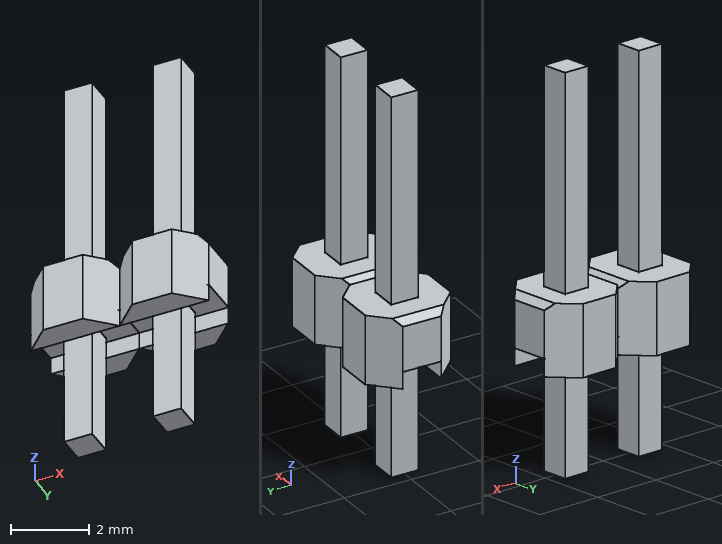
import cadquery as cq

pitch = 2.54
pin_count = 2
pin_width = 0.8
pin_length = 11.0
pin_tail = 3.0
housing_height = 2.0
corner_cut = 0.7
top_chamfer = 0.2
slot_height = 0.5

slot_width = pitch - 2 * corner_cut
pin_positions = [(i - (pin_count - 1) / 2) * pitch for i in range(pin_count)]


def make_housing(x):
    """Octagonal block standing on z = 0, with a slot below and a square pin hole."""
    block = cq.Workplane("XY").box(pitch, pitch, housing_height, centered=(True, True, False))
    block = block.edges("|Z").chamfer(corner_cut)

    half = pitch / 2
    profile = (
        cq.Workplane("XZ")
        .moveTo(-half, 0)
        .lineTo(half, 0)
        .lineTo(half, housing_height - top_chamfer)
        .lineTo(half - top_chamfer, housing_height)
        .lineTo(-half + top_chamfer, housing_height)
        .lineTo(-half, housing_height - top_chamfer)
        .close()
        .extrude(half, both=True)
    )
    slot = cq.Workplane("XY").box(pitch, slot_width, slot_height, centered=(True, True, False))
    hole = cq.Workplane("XY").rect(pin_width, pin_width).extrude(housing_height)
    return block.intersect(profile).cut(slot).cut(hole).translate((x, 0, 0))


def make_pin(x):
    """Square pin passing through the housing."""
    pin = cq.Workplane("XY").rect(pin_width, pin_width).extrude(pin_length)
    return pin.translate((x, 0, -pin_tail))


housings = [make_housing(x) for x in pin_positions]
pins = [make_pin(x) for x in pin_positions]

result = cq.Compound.makeCompound([body.solids().val() for body in housings + pins])